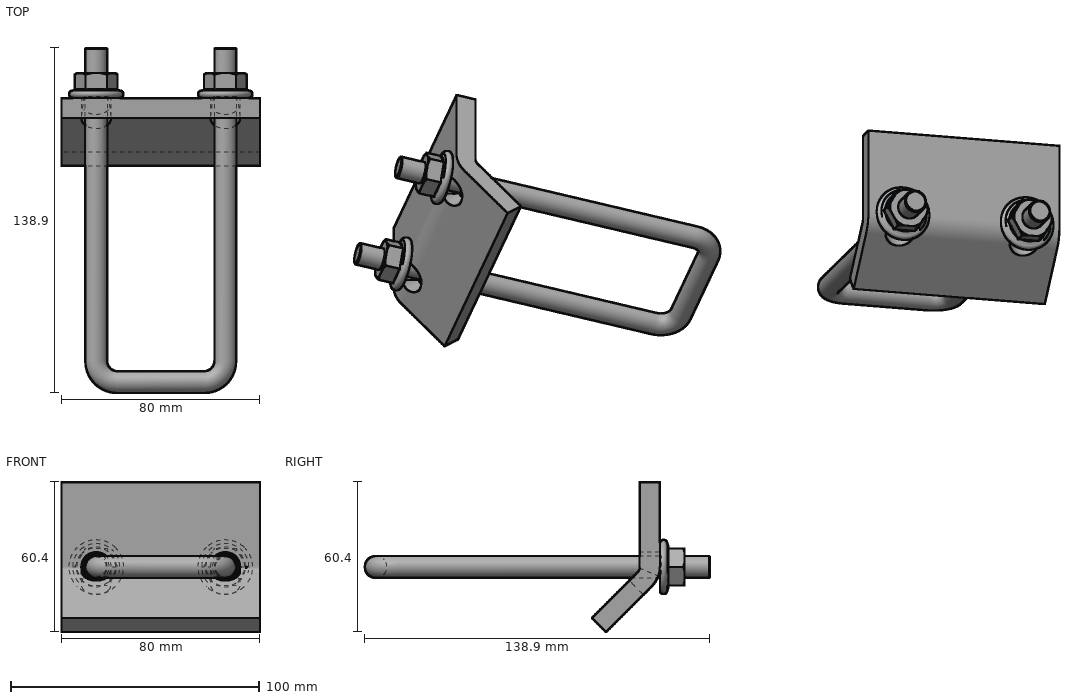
import cadquery as cq
import math

overall_length = 138.9
rod_diameter = 8.9
leg_offset = 26.0
rod_bend_radius = 8.5
rod_end_chamfer = 0.4
rod_end_y = overall_length / 2
rod_radius = rod_diameter / 2

plate_width = 80.0
plate_thickness = 8.0
plate_height = 34.2
plate_back_y = 49.3
plate_bend_radius = 3.0
plate_bend_angle = 45.0
lower_leg_length = 26.0
hole_diameter = 12.0

nut_height = 10.0
nut_across_flats = 15.0
nut_top_chamfer = 0.5
nut_top_radius = 7.8
flange_diameter = 22.0
flange_rim_thickness = 3.0
flange_slope_height = 3.6
flange_slope_radius = 8.0
bore_chamfer = 0.7


def polar(center, radius, degrees):
    """Point on a circle, in the (Y, Z) plane."""
    angle = math.radians(degrees)
    return (center[0] + radius * math.cos(angle), center[1] + radius * math.sin(angle))


def make_u_bolt():
    bottom_y = -overall_length / 2 + rod_radius
    straight_end_y = bottom_y + rod_bend_radius
    straight_half = leg_offset - rod_bend_radius
    diagonal = rod_bend_radius * math.sqrt(0.5)
    mid_x = straight_half + diagonal
    mid_y = straight_end_y - diagonal
    path = (
        cq.Workplane("XY")
        .moveTo(-leg_offset, rod_end_y)
        .lineTo(-leg_offset, straight_end_y)
        .threePointArc((-mid_x, mid_y), (-straight_half, bottom_y))
        .lineTo(straight_half, bottom_y)
        .threePointArc((mid_x, mid_y), (leg_offset, straight_end_y))
        .lineTo(leg_offset, rod_end_y)
    )
    start = cq.Workplane("XZ", origin=(-leg_offset, rod_end_y, 0))
    rod = start.circle(rod_radius).sweep(path)
    return rod.faces(">Y").edges().chamfer(rod_end_chamfer)


def make_plate():
    front_y = plate_back_y - plate_thickness
    outer_radius = plate_bend_radius + plate_thickness
    bend_center = (front_y - plate_bend_radius, 0)
    half_angle = -plate_bend_angle / 2
    inner_end = polar(bend_center, plate_bend_radius, -plate_bend_angle)
    outer_end = polar(bend_center, outer_radius, -plate_bend_angle)
    leg_direction = -90 - plate_bend_angle
    profile = (
        cq.Workplane("YZ", origin=(-plate_width / 2, 0, 0))
        .moveTo(front_y, plate_height)
        .lineTo(front_y, 0)
        .threePointArc(polar(bend_center, plate_bend_radius, half_angle), inner_end)
        .lineTo(*polar(inner_end, lower_leg_length, leg_direction))
        .lineTo(*polar(outer_end, lower_leg_length, leg_direction))
        .lineTo(*outer_end)
        .threePointArc(polar(bend_center, outer_radius, half_angle), (plate_back_y, 0))
        .lineTo(plate_back_y, plate_height)
        .close()
    )
    plate = profile.extrude(plate_width)

    hole_radius = hole_diameter / 2
    corner_z = -plate_bend_radius * math.tan(math.radians(plate_bend_angle / 2))
    through_y, through_z = polar((0, 0), 1, -plate_bend_angle)
    for x in (-leg_offset, leg_offset):
        upper_start = cq.Vector(x, front_y, 0)
        lower_start = cq.Vector(x, front_y, corner_z)
        lower_direction = cq.Vector(0, through_y, through_z)
        depth = 2 * plate_thickness
        plate = plate.cut(cq.Solid.makeCylinder(hole_radius, depth, upper_start, cq.Vector(0, 1, 0)))
        lower_start -= lower_direction * plate_bend_radius
        plate = plate.cut(cq.Solid.makeCylinder(hole_radius, depth, lower_start, lower_direction))
    return plate


def make_nut():
    """Flange nut on the Y axis with its seat at Y = 0."""
    corner_radius = nut_across_flats / math.sqrt(3)
    hexagon = cq.Workplane("XZ").polygon(6, 2 * corner_radius).extrude(-nut_height)
    hex_envelope = (
        cq.Workplane("XY")
        .lineTo(corner_radius, 0)
        .lineTo(corner_radius, nut_height - nut_top_chamfer)
        .lineTo(nut_top_radius, nut_height)
        .lineTo(0, nut_height)
        .close()
        .revolve(360, (0, 0), (0, 1))
    )
    rim_radius = flange_rim_thickness / 2
    flange_radius = flange_diameter / 2
    flange = (
        cq.Workplane("XY")
        .lineTo(flange_radius - rim_radius, 0)
        .threePointArc((flange_radius, rim_radius), (flange_radius - rim_radius, flange_rim_thickness))
        .lineTo(flange_slope_radius, flange_slope_height)
        .lineTo(0, flange_slope_height)
        .close()
        .revolve(360, (0, 0), (0, 1))
    )
    bore = cq.Workplane("XZ").circle(rod_radius).extrude(-nut_height)
    nut = hexagon.intersect(hex_envelope).union(flange).cut(bore)
    seat_edge = nut.faces("<Y").edges(cq.selectors.RadiusNthSelector(0))
    return seat_edge.chamfer(bore_chamfer)


result = make_plate().union(make_u_bolt())
for nut_x in (-leg_offset, leg_offset):
    result = result.union(make_nut().translate((nut_x, plate_back_y, 0)))